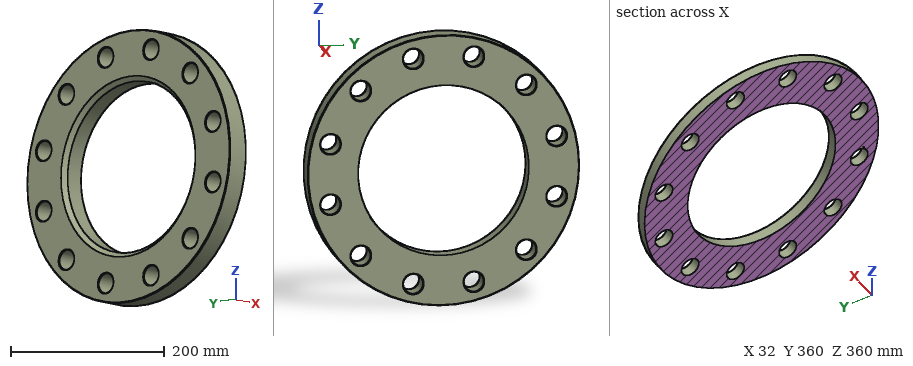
import cadquery as cq

outer_diameter = 360.0
thickness = 32.0
bore_diameter = 226.0
bore_mouth_diameter = 238.5
bore_chamfer_depth = (bore_mouth_diameter - bore_diameter) / 2
rim_chamfer = 1.0

bolt_circle_diameter = 310.0
bolt_count = 12
bolt_hole_diameter = 26.0
bolt_hole_chamfer = 1.0
hole_spacing = 360.0 / bolt_count


def make_ring():
    """Solid disc with both rim edges chamfered."""
    disc = cq.Workplane("YZ").circle(outer_diameter / 2).extrude(thickness)
    disc = disc.edges().chamfer(rim_chamfer)
    return disc.translate((-thickness / 2, 0, 0))


def make_bore():
    """Through bore that widens into a cone at the -X face."""
    mouth_x = -thickness / 2
    bore_radius = bore_diameter / 2
    return (
        cq.Workplane("XY")
        .moveTo(mouth_x, 0)
        .lineTo(mouth_x, bore_mouth_diameter / 2)
        .lineTo(mouth_x + bore_chamfer_depth, bore_radius)
        .lineTo(thickness / 2, bore_radius)
        .lineTo(thickness / 2, 0)
        .close()
        .revolve(360, (0, 0, 0), (1, 0, 0))
    )


def drill_bolt_holes(ring):
    """Through holes on the bolt circle, chamfered at both faces."""
    drilled = (
        ring.faces("<X")
        .workplane(centerOption="CenterOfBoundBox")
        .polarArray(bolt_circle_diameter / 2, hole_spacing / 2, 360, bolt_count)
        .hole(bolt_hole_diameter)
    )
    hole_edges = drilled.faces("<X or >X").edges(cq.selectors.RadiusNthSelector(0))
    return hole_edges.chamfer(bolt_hole_chamfer)


result = drill_bolt_holes(make_ring()).cut(make_bore())